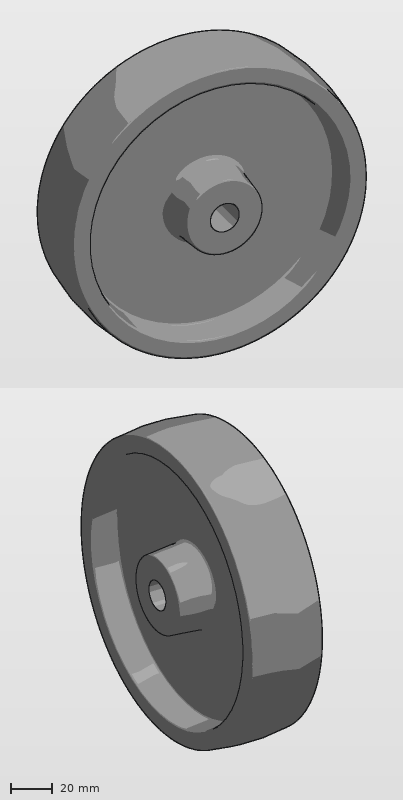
import cadquery as cq
import math

wheel_radius = 80.0
tread_edge_radius = 78.2
tread_width = 40.0
hub_length = 50.0
web_thickness = 10.0
bore_radius = 7.7
hub_face_radius = 20.2
rim_mouth_radius = 69.1
draft_angle = math.radians(5)

tread_edge_fillet = 1.0
rim_mouth_fillet = 1.3
rim_root_fillet = 1.3
hub_edge_fillet = 1.0
hub_root_fillet = 2.5

half_tread = tread_width / 2
half_hub = hub_length / 2
half_web = web_thickness / 2
hub_root_radius = hub_face_radius + (half_hub - half_web) * math.tan(draft_angle)
rim_root_radius = rim_mouth_radius - (half_tread - half_web) * math.tan(draft_angle)


def ring_at(x, radius):
    """Select the circular edges of the given radius at axial position x."""
    margin = 0.08
    reach = radius + margin
    return cq.selectors.BoxSelector(
        (x - margin, -reach, -reach), (x + margin, reach, reach), boundingbox=True
    ) - cq.selectors.BoxSelector(
        (x - margin, -radius + margin, -radius + margin),
        (x + margin, radius - margin, radius - margin),
        boundingbox=True,
    )


def wheel_body():
    """Crowned rim, thin web and drafted hub as one revolved section."""
    section = (
        cq.Workplane("XY")
        .moveTo(-half_hub, bore_radius)
        .lineTo(-half_hub, hub_face_radius)
        .lineTo(-half_web, hub_root_radius)
        .lineTo(-half_web, rim_root_radius)
        .lineTo(-half_tread, rim_mouth_radius)
        .lineTo(-half_tread, tread_edge_radius)
        .threePointArc((0, wheel_radius), (half_tread, tread_edge_radius))
        .lineTo(half_tread, rim_mouth_radius)
        .lineTo(half_web, rim_root_radius)
        .lineTo(half_web, hub_root_radius)
        .lineTo(half_hub, hub_face_radius)
        .lineTo(half_hub, bore_radius)
        .close()
    )
    return section.revolve(360, (0, 0, 0), (1, 0, 0))


def round_ring(body, x, radius, fillet):
    """Round the circular edge of the given radius on both sides of the wheel."""
    for side in (-1, 1):
        body = body.edges(ring_at(side * x, radius)).fillet(fillet)
    return body


result = wheel_body()
result = round_ring(result, half_tread, tread_edge_radius, tread_edge_fillet)
result = round_ring(result, half_tread, rim_mouth_radius, rim_mouth_fillet)
result = round_ring(result, half_web, rim_root_radius, rim_root_fillet)
result = round_ring(result, half_web, hub_root_radius, hub_root_fillet)
result = round_ring(result, half_hub, hub_face_radius, hub_edge_fillet)